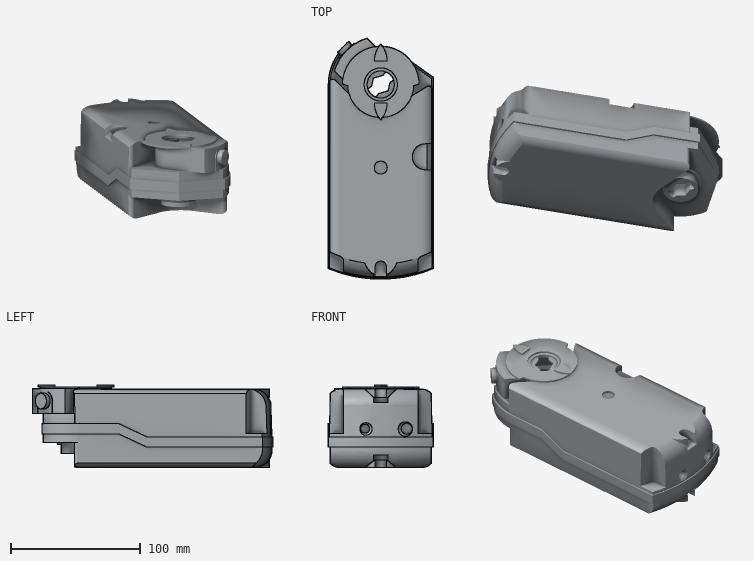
import cadquery as cq
import math


band_half_width = 40.5
front_end = -150.2
front_radius = 104.5
front_centre = front_end + front_radius
rear_end = 28.3
rear_slant_start = 8.5
rear_slant_side = 5.5
housing_height = 60.5

shell_inset = 0.7
shell_half_width = band_half_width - shell_inset
slim_half_width = 39.0
edge_drop = 3.3
edge_inset = 7.3
end_round_height = 13.8
end_round_length = 10.2
front_draft = 0.7
shelf_rear_inset = 1.0

band_height = 7.9
band_low = 15.8
band_high = 26.0
ramp_front = -52.6
ramp_rear = -30.9

shelf_bottom = 19.2
shelf_top = 41.6
recess_left_offset = 22.5
recess_right_offset = 20.0
recess_depth = 21.2
recess_left_slope = 45.0
recess_right_slope = 31.6
recess_tip_round = 2.8

notch_floor = 26.4
notch_wall = 28.6
notch_back_side = -128.7
notch_back_wall = -133.7
notch_round = 4.0

slot_width = 8.5
top_slot_depth = 6.5
bottom_slot_depth = 5.8
undercut_width = 11.0
undercut_height = 3.9
slot_centre = -140.5
pad_end = -147.3
pad_root = -137.2
pad_root_half_width = 12.5
pad_end_half_width = slot_width / 2
pad_bulge = (9.9, -142.5)

front_holes = [(-12.0, 10.0, 6.9), (20.0, 11.3, 8.5)]
front_hole_height = 30.0
countersink_depth = 1.3
front_hole_depth = 5.5

dimple_diameter = 10.0
dimple_centre = -64.1
dimple_depth = 1.7
edge_pocket_radius = 10.0
edge_pocket_centre = (34.4, -55.8)
edge_pocket_depth = 5.5
edge_pocket_bevel_start = 35.5

hub_diameter = 27.0
hub_bottom = 10.8
clip_radius = 16.2
clip_thickness = 1.5
tab_width = 35.7
tab_radius = 37.2
tab_top = 60.8
tab_direction = 135.0
disc_thickness = 1.5
disc_top = tab_top + disc_thickness
disc_rear_radius = 29.5
disc_front_radius = 25.5
step_outer_y = 0.4
step_inner_y = -1.0
disc_bore_diameter = 25.7
hub_bore_diameter = 21.0
jaw_depth = 1.3
jaw_thickness = 1.5
cavity_floor = 47.0
cavity_length = 29.7
cavity_width = 16.0
cavity_direction = 45.0
pointer_thickness = 1.5
pointer_length = 13.2
pointer_half_width = 4.93
rear_pointer_base = 18.0
front_pointer_base = -14.1
bolt_diameter = 12.0
bolt_height = 51.3
bolt_tip = 41.0
bolt_pad_half_width = 8.0
bolt_pad_face = 37.0

jaw_arc_start = (9.9, 3.3)
jaw_arc_end = (3.7, 9.7)
jaw_teeth = [(1.9, 7.0), (-5.5, 4.8), (-7.0, -1.5)]

spare = 18.6
body_length = rear_end - front_end
above = housing_height + spare


def polar(radius, angle):
    """Point at an angle in degrees from +X."""
    turn = math.radians(angle)
    return radius * math.cos(turn), radius * math.sin(turn)


def front_edge(half_width, radius):
    """Y of the front arc at a distance from the middle."""
    return front_centre - math.sqrt(radius**2 - half_width**2)


def plan(half_width, rear_inset, bottom, height):
    """Full outline of the housing as a prism; its ends stand back from the band by an inset."""
    rear = rear_end - rear_inset
    corner = front_edge(half_width, front_radius - rear_inset)
    arc_end_x = -math.sqrt(half_width**2 - rear**2)
    return (
        cq.Workplane("XY", origin=(0, 0, bottom))
        .moveTo(-half_width, corner)
        .lineTo(-half_width, 0)
        .threePointArc(polar(half_width, 160), (arc_end_x, rear))
        .lineTo(rear_slant_start - rear_inset, rear)
        .lineTo(half_width, rear_slant_side - rear_inset)
        .lineTo(half_width, corner)
        .threePointArc((0, front_end + rear_inset), (-half_width, corner))
        .close()
        .extrude(height)
    )


def recess_tip(offset, slope, half_width):
    """Y where a straight recess wall would meet the side of the housing."""
    angle = math.radians(slope)
    return half_width * math.tan(angle) - offset / math.cos(angle)


def recessed_plan(half_width):
    """Outline above and below the shelf: its rear end leaves room for the clamp."""
    corner = front_edge(half_width, front_radius - shell_inset)
    left_tip = recess_tip(recess_left_offset, recess_left_slope, half_width)
    right_tip = recess_tip(recess_right_offset, recess_right_slope, half_width)
    left_foot = polar(recess_left_offset, 270 - recess_left_slope)
    right_foot = polar(recess_right_offset, 270 + recess_right_slope)
    prism = (
        cq.Workplane("XY")
        .moveTo(-half_width, corner)
        .lineTo(-half_width, left_tip)
        .lineTo(*left_foot)
        .threePointArc((0, -recess_depth), right_foot)
        .lineTo(half_width, right_tip)
        .lineTo(half_width, corner)
        .threePointArc((0, front_end + shell_inset), (-half_width, corner))
        .close()
        .extrude(housing_height)
    )
    for x, y in ((-half_width, left_tip), (half_width, right_tip)):
        tip_edge = cq.selectors.NearestToPointSelector((x, y, housing_height / 2))
        prism = prism.edges("|Z").edges(tip_edge).fillet(recess_tip_round)
    return prism


def edge_arc_middle(corner_z, direction):
    """Middle of the rounded long edge on the +X side; the arc is tangent to the flat face."""
    radius = (edge_inset**2 + edge_drop**2) / (2 * edge_drop)
    half_turn = math.asin(edge_inset / radius) / 2
    x = slim_half_width - edge_inset + radius * math.sin(half_turn)
    z = corner_z - direction * radius * (1 - math.cos(half_turn))
    return x, z


def shell_section(base_half_width, base_z, flat_z, direction):
    """Section from a straight base to a flat face at flat_z with two rounded edges."""
    edge_z = flat_z - direction * edge_drop
    flat_half_width = slim_half_width - edge_inset
    middle_x, middle_z = edge_arc_middle(flat_z, direction)
    return (
        cq.Workplane("XZ", origin=(0, rear_end, 0))
        .moveTo(base_half_width, base_z)
        .lineTo(slim_half_width, edge_z)
        .threePointArc((middle_x, middle_z), (flat_half_width, flat_z))
        .lineTo(-flat_half_width, flat_z)
        .threePointArc((-middle_x, middle_z), (-slim_half_width, edge_z))
        .lineTo(-base_half_width, base_z)
        .close()
        .extrude(body_length)
    )


def band_side(bottom_offset, height):
    """Side view of the stepped band as a prism across the width."""
    low = band_low + bottom_offset
    high = band_high + bottom_offset
    return (
        cq.Workplane("YZ", origin=(-band_half_width, 0, 0))
        .polyline([
            (front_end, low), (ramp_front, low), (ramp_rear, high), (rear_end, high),
            (rear_end, high + height), (ramp_rear, high + height),
            (ramp_front, low + height), (front_end, low + height),
        ])
        .close()
        .extrude(2 * band_half_width)
    )


def front_rounding():
    """Disc whose rim is the front face with its rounded top and bottom edges."""
    rim = front_radius - shell_inset
    top_rim = rim - front_draft
    radius = (end_round_height**2 + end_round_length**2) / (2 * end_round_length)
    half_turn = math.asin(end_round_height / radius) / 2
    middle_inset = radius * (1 - math.cos(half_turn))
    middle_rise = radius * math.sin(half_turn)
    top_round_start = housing_height - end_round_height
    return (
        cq.Workplane("XZ", origin=(0, front_centre, 0))
        .moveTo(0, 0)
        .lineTo(rim - end_round_length, 0)
        .threePointArc((rim - middle_inset, end_round_height - middle_rise), (rim, end_round_height))
        .lineTo(rim, band_low + band_height)
        .lineTo(top_rim, top_round_start)
        .threePointArc((top_rim - middle_inset, top_round_start + middle_rise),
                       (top_rim - end_round_length, housing_height))
        .lineTo(0, housing_height)
        .close()
        .revolve(360, (0, 0, 0), (0, 1, 0))
    )


def shells():
    """Upper and lower shell, split along the band, and the shelf at the rear."""
    above_split = band_side(band_height / 2, housing_height)
    upper = shell_section(shell_half_width, band_low, housing_height, 1)
    upper = upper.intersect(above_split).intersect(recessed_plan(shell_half_width))
    lower = shell_section(slim_half_width, band_high + band_height, 0, -1)
    lower = lower.cut(above_split).intersect(recessed_plan(slim_half_width))
    shelf = plan(slim_half_width, shelf_rear_inset, shelf_bottom, shelf_top - shelf_bottom)
    return upper.union(lower).union(shelf).intersect(front_rounding())


def band():
    return plan(band_half_width, 0, 0, housing_height).intersect(band_side(0, band_height))


def corner_notch(side):
    """Cutter for the open notch at a front corner; side is -1 or 1."""
    outer = side * (band_half_width + spare)
    wall = side * notch_wall
    slope = (notch_back_wall - notch_back_side) / (band_half_width - notch_wall)
    back_outer = notch_back_side - slope * spare
    return (
        cq.Workplane("XY", origin=(0, 0, notch_floor))
        .polyline([(wall, notch_back_wall), (outer, back_outer), (outer, front_end - spare),
                   (wall, front_end - spare)])
        .close()
        .extrude(above - notch_floor)
        .edges(cq.selectors.NearestToPointSelector((wall, notch_back_wall, housing_height)))
        .fillet(notch_round)
    )


def keyhole_pad(bottom, depth):
    """Flared pad that carries the lips of a keyhole slot out through the rounded end."""
    bulge_x, bulge_y = pad_bulge
    return (
        cq.Workplane("XY", origin=(0, 0, bottom))
        .moveTo(-pad_root_half_width, pad_root)
        .threePointArc((-bulge_x, bulge_y), (-pad_end_half_width, pad_end))
        .lineTo(pad_end_half_width, pad_end)
        .threePointArc((bulge_x, bulge_y), (pad_root_half_width, pad_root))
        .close()
        .extrude(depth)
    )


def open_slot(width, bottom, height):
    """Slot with a round inner end that runs out through the front."""
    round_end = cq.Workplane("XY", origin=(0, slot_centre, bottom)).circle(width / 2).extrude(height)
    length = slot_centre - front_end + spare
    run = (
        cq.Workplane("XY", origin=(0, slot_centre - length / 2, bottom))
        .rect(width, length)
        .extrude(height)
    )
    return round_end.union(run)


def front_hole(x, mouth, bore):
    """Countersunk blind hole into the curved front face."""
    face = front_edge(abs(x), front_radius - shell_inset)
    flare = (mouth - bore) / 2 / countersink_depth
    outside = 1.9
    return (
        cq.Workplane("XY")
        .polyline([(0, -outside), (mouth / 2 + flare * outside, -outside), (bore / 2, countersink_depth),
                   (bore / 2, front_hole_depth), (0, front_hole_depth)])
        .close()
        .revolve(360, (0, 0, 0), (0, 1, 0))
        .translate((x, face, front_hole_height))
    )


def edge_pocket():
    """Pocket open to the +X side, with a floor that bevels down at the side."""
    x, y = edge_pocket_centre
    floor = housing_height - edge_pocket_depth
    outer = x + spare
    drop = outer - edge_pocket_bevel_start
    section = (
        cq.Workplane("XZ", origin=(0, y + edge_pocket_radius, 0))
        .polyline([(x - spare, floor), (edge_pocket_bevel_start, floor), (outer, floor - drop),
                   (outer, above), (x - spare, above)])
        .close()
        .extrude(2 * edge_pocket_radius)
    )
    footprint = cq.Workplane("XY").center(x, y).circle(edge_pocket_radius).extrude(above)
    side_run = (
        cq.Workplane("XY")
        .center(x + spare / 2, y)
        .rect(spare, 2 * edge_pocket_radius)
        .extrude(above)
    )
    return section.intersect(footprint.union(side_run))


def make_housing():
    body = shells()
    for side in (-1, 1):
        body = body.cut(corner_notch(side))
    body = body.union(band())

    top_lip = housing_height - top_slot_depth
    body = body.union(keyhole_pad(0, bottom_slot_depth)).union(keyhole_pad(top_lip, top_slot_depth))
    body = body.cut(open_slot(slot_width, 0, bottom_slot_depth))
    body = body.cut(open_slot(undercut_width, bottom_slot_depth, undercut_height))
    body = body.cut(open_slot(slot_width, top_lip, top_slot_depth))
    body = body.cut(open_slot(undercut_width, top_lip - undercut_height, undercut_height))

    for x, mouth, bore in front_holes:
        body = body.cut(front_hole(x, mouth, bore))

    dimple = cq.Workplane("XY", origin=(0, dimple_centre, housing_height)).circle(dimple_diameter / 2)
    body = body.cut(dimple.extrude(-dimple_depth)).cut(edge_pocket())
    hub_hole = cq.Workplane("XY").circle(hub_diameter / 2).extrude(above)
    return body.cut(hub_hole)


def clamp_hub():
    """Hub through the shelf with a half-ring clip below it."""
    hub = cq.Workplane("XY", origin=(0, 0, hub_bottom)).circle(hub_diameter / 2)
    hub = hub.extrude(tab_top - hub_bottom)
    clip = cq.Workplane("XY", origin=(0, 0, shelf_bottom - clip_thickness)).circle(clip_radius)
    clip = clip.extrude(clip_thickness)
    plus_x_half = cq.Workplane("XY").box(2 * clip_radius, 2 * clip_radius, 2 * shelf_bottom)
    return hub.union(clip.intersect(plus_x_half.translate((clip_radius, 0, 0))))


def clamp_tab():
    """Block with a round outer end, a flat pad and the bolt head, built along +X."""
    height = tab_top - shelf_top
    level = cq.Workplane("XY", origin=(0, 0, shelf_top))
    bar = level.center(tab_radius / 2, 0).rect(tab_radius, tab_width).extrude(height)
    tab = bar.union(level.circle(tab_width / 2).extrude(height))
    tab = tab.intersect(level.circle(tab_radius).extrude(height))

    leg_height = bolt_height - shelf_top
    pad_base = tab_width / 2
    pad_reach = bolt_pad_face - pad_base
    face = cq.Workplane("YZ", origin=(pad_base, 0, bolt_height))
    pad = face.circle(bolt_pad_half_width).extrude(pad_reach)
    legs = face.center(0, -leg_height / 2).rect(2 * bolt_pad_half_width, leg_height).extrude(pad_reach)
    bolt = face.circle(bolt_diameter / 2).extrude(bolt_tip - pad_base)
    return tab.union(pad).union(legs).union(bolt).rotate((0, 0, 0), (0, 0, 1), tab_direction)


def clamp_disc():
    """Disc that is larger on its rear half, with a step on each side."""
    outer_x = math.sqrt(disc_rear_radius**2 - step_outer_y**2)
    inner_x = math.sqrt(disc_front_radius**2 - step_inner_y**2)
    return (
        cq.Workplane("XY", origin=(0, 0, tab_top))
        .moveTo(outer_x, step_outer_y)
        .threePointArc((0, disc_rear_radius), (-outer_x, step_outer_y))
        .lineTo(-inner_x, step_inner_y)
        .threePointArc((0, -disc_front_radius), (inner_x, step_inner_y))
        .close()
        .extrude(disc_thickness)
    )


def pointer(base, direction):
    """Pointed arch on the disc; direction is 1 toward +Y and -1 toward -Y."""
    radius = (pointer_half_width**2 + pointer_length**2) / (2 * pointer_half_width)
    half_turn = math.asin(pointer_length / radius) / 2
    middle_x = pointer_half_width - radius * (1 - math.cos(half_turn))
    middle_y = base + direction * radius * math.sin(half_turn)
    tip = (0, base + direction * pointer_length)
    return (
        cq.Workplane("XY", origin=(0, 0, disc_top))
        .moveTo(-pointer_half_width, base)
        .threePointArc((-middle_x, middle_y), tip)
        .threePointArc((middle_x, middle_y), (pointer_half_width, base))
        .close()
        .extrude(pointer_thickness)
    )


def jaw_opening():
    """Toothed through opening with half-turn symmetry."""
    arc_middle = polar(hub_bore_diameter / 2, 45)
    opening = cq.Workplane("XY").moveTo(*jaw_arc_start)
    for turn in (1, -1):
        middle_x, middle_y = arc_middle
        end_x, end_y = jaw_arc_end
        opening = opening.threePointArc((turn * middle_x, turn * middle_y), (turn * end_x, turn * end_y))
        for x, y in jaw_teeth:
            opening = opening.lineTo(turn * x, turn * y)
        if turn == 1:
            opening = opening.lineTo(-jaw_arc_start[0], -jaw_arc_start[1])
    return opening.close().extrude(above)


def jaw_cavity():
    """Rectangular cavity in the hub below the jaws."""
    height = tab_top - jaw_depth - jaw_thickness - cavity_floor
    cavity = cq.Workplane("XY", origin=(0, 0, cavity_floor)).rect(cavity_length, cavity_width)
    return cavity.extrude(height).rotate((0, 0, 0), (0, 0, 1), cavity_direction)


def make_clamp():
    body = clamp_hub().union(clamp_tab()).union(clamp_disc())
    body = body.union(pointer(rear_pointer_base, 1)).union(pointer(front_pointer_base, -1))
    top = cq.Workplane("XY", origin=(0, 0, tab_top))
    body = body.cut(top.circle(disc_bore_diameter / 2).extrude(disc_thickness))
    body = body.cut(top.circle(hub_bore_diameter / 2).extrude(-jaw_depth))
    return body.cut(jaw_cavity()).cut(jaw_opening())


housing = make_housing()
clamp = make_clamp()
result = cq.Compound.makeCompound([housing.solids().val(), clamp.solids().val()])